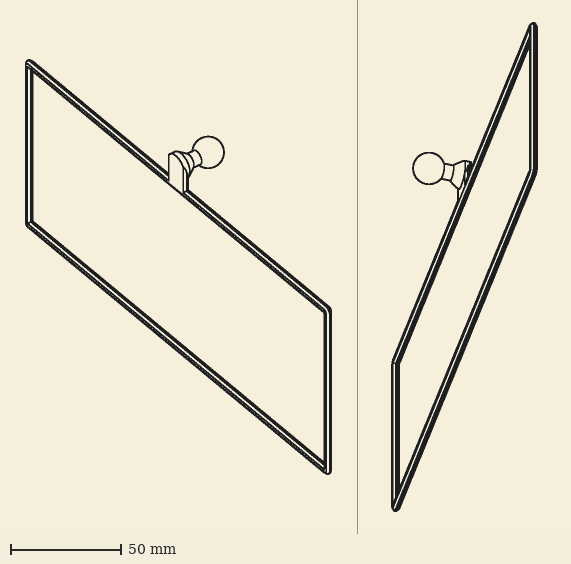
import cadquery as cq
import math

frame_width = 230.0
frame_height = 96.5
side_bar_width = 3.7
rail_width = 4.1
thickness = 3.0
corner_radius = 3.2
bevel = 1.2

overall_height = 113.8
overall_depth = 25.5
ball_diameter = 14.5
neck_diameter = 7.1
neck_start = 7.5
flank_bulge = 0.12
tab_radius = 6.7

ball_radius = ball_diameter / 2
neck_radius = neck_diameter / 2
stud_height = overall_height - ball_radius
ball_depth = overall_depth - ball_radius


def block(width, height, bottom):
    """Plate of the frame thickness, centred on X and rising from the given height."""
    plate = cq.Workplane("XY").box(width, thickness, height, centered=(True, False, False))
    return plate.translate((0, 0, bottom))


def make_frame():
    outer = block(frame_width, frame_height, 0).edges("|Y").fillet(corner_radius)
    opening = block(frame_width - 2 * side_bar_width, frame_height - 2 * rail_width, rail_width)
    return outer.cut(opening).faces("<Y or >Y").edges().chamfer(bevel)


def make_tab():
    """Upright with bevelled sides, rounded off around the stud axis."""
    bottom = frame_height - rail_width / 2
    upright = block(2 * tab_radius, stud_height + tab_radius - bottom, bottom)
    upright = upright.edges("|Z").chamfer(bevel)
    rounded_top = cq.Workplane("XZ", origin=(0, 0, stud_height)).circle(tab_radius).extrude(-thickness)
    outline = block(2 * tab_radius, stud_height - bottom, bottom).union(rounded_top)
    return upright.intersect(outline)


def make_stud():
    """Foot with a bulging flank, neck and ball, turned as one profile about the stud axis."""
    flank_middle = (tab_radius + neck_radius) / 2 + flank_bulge
    flank_middle_depth = (thickness + neck_start) / 2 + flank_bulge
    ball_start = ball_depth - math.sqrt(ball_radius**2 - neck_radius**2)
    profile = (
        cq.Workplane("XY")
        .moveTo(0, thickness / 2)
        .lineTo(tab_radius, thickness / 2)
        .lineTo(tab_radius, thickness)
        .threePointArc((flank_middle, flank_middle_depth), (neck_radius, neck_start))
        .lineTo(neck_radius, ball_start)
        .threePointArc((ball_radius, ball_depth), (0, overall_depth))
        .close()
    )
    return profile.revolve(360, (0, 0, 0), (0, 1, 0)).translate((0, 0, stud_height))


result = make_frame().union(make_tab()).union(make_stud())